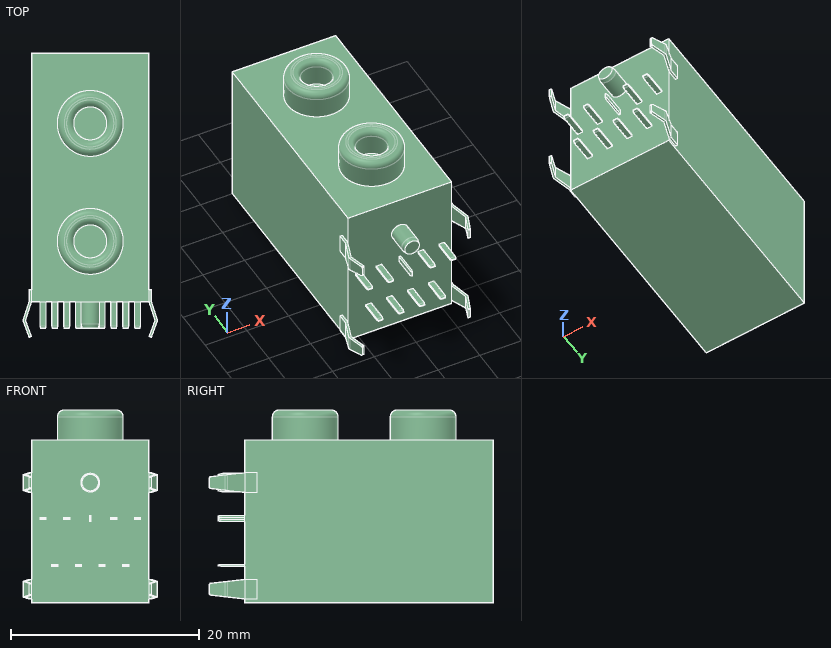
import cadquery as cq
import math

OVERALL_DEPTH = 30.13
BODY_WIDTH = 12.4
BODY_DEPTH = 26.35
BODY_HEIGHT = 17.25

COLLAR_DIAMETER = 7.0
COLLAR_HEIGHT = 3.2
COLLAR_ROUNDING = 0.75
JACK_BORE_DIAMETER = 3.5
JACK_FIRST_Y = 6.42
JACK_PITCH = 12.5
JACK_COUNT = 2

PEG_DIAMETER = 2.0
PEG_LENGTH = 2.8
PEG_Z = 12.75
PEG_CHAMFER_LENGTH = 0.48
PEG_CHAMFER_DEPTH = 0.12

PIN_LENGTH = PEG_LENGTH
PIN_WIDTH = 0.65
PIN_THICKNESS = 0.2
PIN_CHAMFER_LENGTH = 0.27
PIN_CHAMFER_DEPTH = 0.05
PIN_PITCH = 2.5
UPPER_ROW_Z = 8.95
LOWER_ROW_Z = 3.98
UPPER_ROW_COUNT = 5
LOWER_ROW_COUNT = 4

CLIP_CORNER_X = 7.15
CLIP_THICKNESS = 0.27
CLIP_HEIGHT = 2.1
CLIP_TIP_HEIGHT = 1.27
CLIP_ROOT_LENGTH = 1.3
CLIP_REACH = OVERALL_DEPTH - BODY_DEPTH
CLIP_ROOT_BEND_Y = 0.05
CLIP_BEND_Y = -1.95
CLIP_BEND_RADIUS = 0.42
CLIP_TIP_CHAMFER = 0.12
LOWER_CLIP_Z = 1.45
UPPER_CLIP_Z = PEG_Z


def make_body():
    return cq.Workplane("XY").box(BODY_WIDTH, BODY_DEPTH, BODY_HEIGHT, centered=(True, False, False))


def make_collar(y):
    """Collar with a blind bore down to the body; both rim edges are rounded."""
    ring = (
        cq.Workplane("XY")
        .circle(COLLAR_DIAMETER / 2)
        .circle(JACK_BORE_DIAMETER / 2)
        .extrude(COLLAR_HEIGHT)
        .faces(">Z")
        .edges()
        .fillet(COLLAR_ROUNDING)
    )
    return ring.translate((0, y, BODY_HEIGHT))


def make_peg():
    peg = cq.Workplane("XZ").circle(PEG_DIAMETER / 2).extrude(PEG_LENGTH)
    peg = peg.faces("<Y").chamfer(PEG_CHAMFER_LENGTH, PEG_CHAMFER_DEPTH)
    return peg.translate((0, 0, PEG_Z))


def make_pin(x, z, upright=False):
    """Flat pin with a tapered tip; an upright pin stands on edge."""
    straight = PIN_LENGTH - PIN_CHAMFER_LENGTH
    inset = 2 * PIN_CHAMFER_DEPTH
    pin = (
        cq.Workplane("XZ")
        .rect(PIN_WIDTH, PIN_THICKNESS)
        .extrude(straight)
        .faces("<Y")
        .workplane()
        .rect(PIN_WIDTH, PIN_THICKNESS)
        .workplane(offset=PIN_CHAMFER_LENGTH)
        .rect(PIN_WIDTH - inset, PIN_THICKNESS - inset)
        .loft(combine=True)
    )
    if upright:
        pin = pin.rotate((0, 0, 0), (0, 1, 0), 90)
    return pin.translate((x, 0, z))


def row_positions(count):
    return [(i - (count - 1) / 2) * PIN_PITCH for i in range(count)]


def make_clip():
    """Bent strip on the +X side, centred on Z = 0 and narrowing towards its tip."""
    inner_x = BODY_WIDTH / 2
    outer_x = inner_x + CLIP_THICKNESS
    bend_angle = math.atan2(CLIP_CORNER_X - outer_x, CLIP_ROOT_BEND_Y - CLIP_BEND_Y)
    tip_angle = math.atan2(CLIP_CORNER_X - outer_x, CLIP_REACH + CLIP_BEND_Y)
    corner_inner_x = CLIP_CORNER_X - CLIP_THICKNESS / math.cos(bend_angle)
    tip_inner_x = outer_x - CLIP_THICKNESS * math.cos(tip_angle)
    tip_inner_y = -CLIP_REACH + CLIP_THICKNESS * math.sin(tip_angle)

    strip = (
        cq.Workplane("XY")
        .moveTo(inner_x, CLIP_ROOT_LENGTH)
        .lineTo(outer_x, CLIP_ROOT_LENGTH)
        .lineTo(outer_x, CLIP_ROOT_BEND_Y)
        .lineTo(CLIP_CORNER_X, CLIP_BEND_Y)
        .lineTo(outer_x, -CLIP_REACH)
        .lineTo(tip_inner_x, tip_inner_y)
        .lineTo(corner_inner_x, CLIP_BEND_Y)
        .lineTo(inner_x, CLIP_ROOT_BEND_Y)
        .close()
        .extrude(CLIP_HEIGHT / 2, both=True)
    )
    outer_bend = cq.selectors.NearestToPointSelector((CLIP_CORNER_X, CLIP_BEND_Y, 0))
    strip = strip.edges(outer_bend).fillet(CLIP_BEND_RADIUS)
    side_outline = (
        cq.Workplane("YZ")
        .moveTo(CLIP_ROOT_LENGTH, CLIP_HEIGHT / 2)
        .lineTo(CLIP_ROOT_BEND_Y, CLIP_HEIGHT / 2)
        .lineTo(CLIP_TIP_CHAMFER - CLIP_REACH, CLIP_TIP_HEIGHT / 2)
        .lineTo(-CLIP_REACH, CLIP_TIP_HEIGHT / 2 - CLIP_TIP_CHAMFER)
        .lineTo(-CLIP_REACH, CLIP_TIP_CHAMFER - CLIP_TIP_HEIGHT / 2)
        .lineTo(CLIP_TIP_CHAMFER - CLIP_REACH, -CLIP_TIP_HEIGHT / 2)
        .lineTo(CLIP_ROOT_BEND_Y, -CLIP_HEIGHT / 2)
        .lineTo(CLIP_ROOT_LENGTH, -CLIP_HEIGHT / 2)
        .close()
        .extrude(BODY_WIDTH)
    )
    return strip.intersect(side_outline)


result = make_body()

for jack in range(JACK_COUNT):
    result = result.union(make_collar(JACK_FIRST_Y + jack * JACK_PITCH))

result = result.union(make_peg())

for x in row_positions(UPPER_ROW_COUNT):
    result = result.union(make_pin(x, UPPER_ROW_Z, upright=(x == 0)))

for x in row_positions(LOWER_ROW_COUNT):
    result = result.union(make_pin(x, LOWER_ROW_Z))

right_clip = make_clip()
for level in (LOWER_CLIP_Z, UPPER_CLIP_Z):
    for clip in (right_clip, right_clip.mirror("YZ")):
        result = result.union(clip.translate((0, 0, level)))